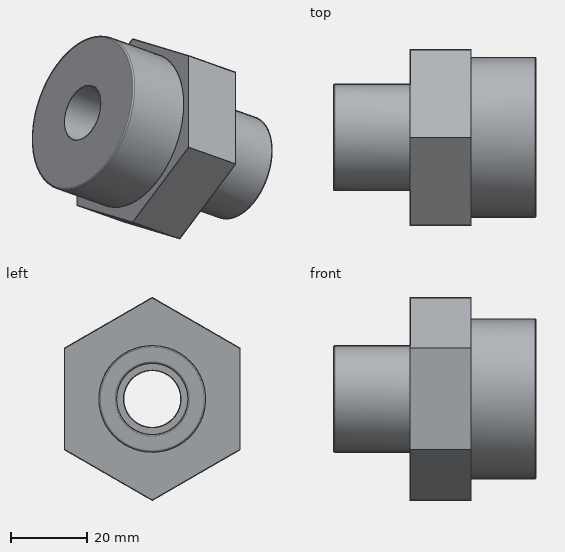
import cadquery as cq
import math

spigot_length = 20.0
hex_length = 16.0
collar_length = 17.0
total_length = spigot_length + hex_length + collar_length

spigot_diameter = 27.95
collar_diameter = 41.9
hex_across_corners = 53.1

spigot_bore_diameter = 18.65
through_bore_diameter = 14.95
spigot_bore_depth = spigot_length

edge_radius = 0.35


def cylinder_along_x(start, length, diameter):
    return cq.Workplane("YZ", origin=(start, 0, 0)).circle(diameter / 2).extrude(length)


def hexagon_along_x(start, length, across_corners):
    """Hexagonal prism with two of its corners on the Z axis."""
    corners = []
    for index in range(6):
        angle = math.radians(90 + 60 * index)
        radius = across_corners / 2
        corners.append((radius * math.cos(angle), radius * math.sin(angle)))
    return cq.Workplane("YZ", origin=(start, 0, 0)).polyline(corners).close().extrude(length)


spigot = cylinder_along_x(0, spigot_length, spigot_diameter)
spigot = spigot.faces("<X").edges().fillet(edge_radius)

hexagon = hexagon_along_x(spigot_length, hex_length, hex_across_corners)

collar = cylinder_along_x(spigot_length + hex_length, collar_length, collar_diameter)
collar = collar.faces(">X").edges().fillet(edge_radius)

body = spigot.union(hexagon).union(collar)

through_bore = cylinder_along_x(0, total_length, through_bore_diameter)
spigot_bore = cylinder_along_x(0, spigot_bore_depth, spigot_bore_diameter)
body = body.cut(through_bore).cut(spigot_bore)

mouth_edge = cq.selectors.RadiusNthSelector(0)
result = body.faces("<X").edges(mouth_edge).fillet(edge_radius)